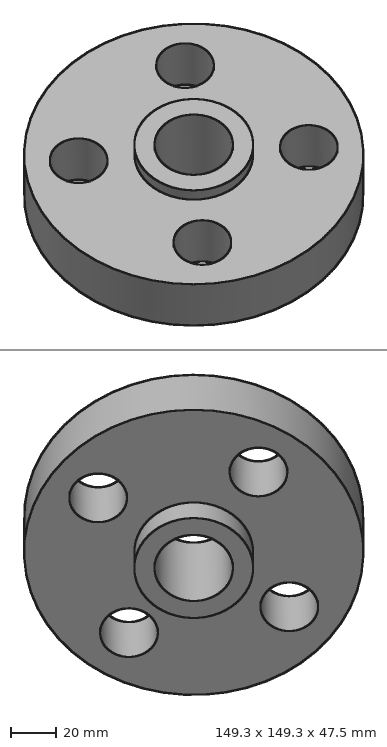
import cadquery as cq

flange_diameter = 149.35
hub_diameter = 52.32
bore_diameter = 34.54
total_height = 47.5
upper_hub_height = 6.35
lower_hub_height = 12.7
bolt_hole_diameter = 25.4
bolt_circle_diameter = 101.6
bolt_count = 4
first_bolt_angle = 45.0

flange_thickness = total_height - upper_hub_height - lower_hub_height


def flange_disc():
    """Flat disc standing above the lower hub, which starts at Z = 0."""
    return (
        cq.Workplane("XY")
        .workplane(offset=lower_hub_height)
        .circle(flange_diameter / 2)
        .extrude(flange_thickness)
    )


def hub():
    """Cylinder through the flange, projecting from both of its faces."""
    return cq.Workplane("XY").circle(hub_diameter / 2).extrude(total_height)


def bore():
    """Central through bore."""
    return cq.Workplane("XY").circle(bore_diameter / 2).extrude(total_height)


def bolt_holes():
    """Through holes evenly spaced on the bolt circle."""
    return (
        cq.Workplane("XY")
        .polarArray(bolt_circle_diameter / 2, first_bolt_angle, 360, bolt_count)
        .circle(bolt_hole_diameter / 2)
        .extrude(total_height)
    )


result = flange_disc().union(hub()).cut(bore()).cut(bolt_holes())